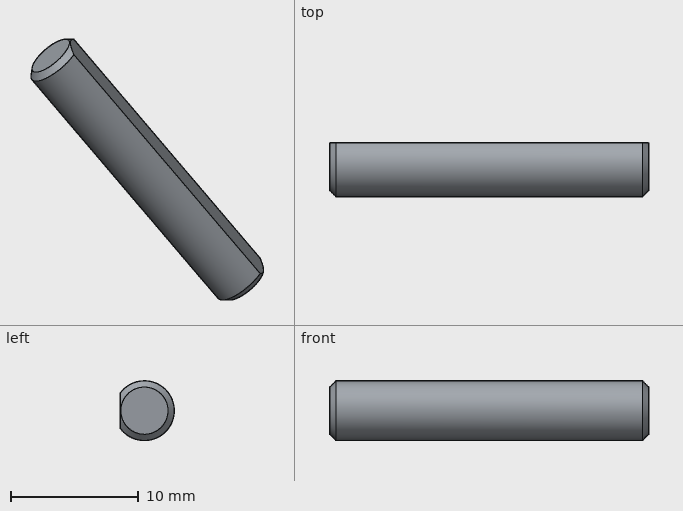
import cadquery as cq

length = 25.0
diameter = 4.7
chamfer = 0.5
width_across_flat = 4.25

radius = diameter / 2
flat_y = width_across_flat - radius

pin = cq.Workplane("YZ").circle(radius).extrude(length / 2, both=True)
pin = pin.faces("<X or >X").chamfer(chamfer)

flat_cutter = cq.Workplane("XY").box(length, diameter, diameter).translate((0, flat_y + radius, 0))

result = pin.cut(flat_cutter)